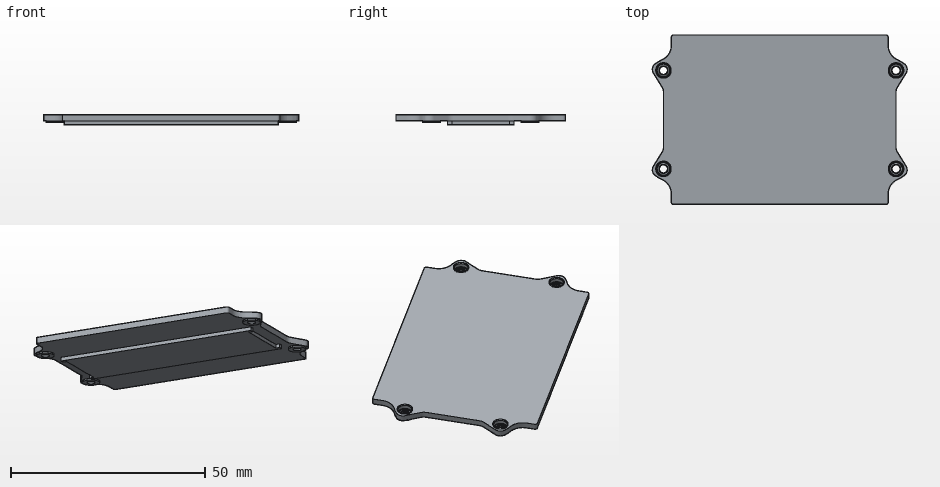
import cadquery as cq
import math

length = 65.7
width = 43.7
total_height = 2.6
plate_thickness = 1.65
body_length = 55.9
waist_length = 59.9
corner_radius = 0.6

panel_length = 55.2
panel_width = 17.15
rail_width = 1.1
end_recess = 1.1

hole_x = 29.95
hole_y = 12.7
hole_diameter = 2.05
counterbore_diameter = 3.55
counterbore_depth = 1.4
floor_chamfer = 0.165
hole_chamfer = 0.165
rim_diameter = 4.0
rim_depth = (rim_diameter - counterbore_diameter) / 2
boss_diameter = 4.5
boss_height = 0.4

tip_radius = 1.8
tip_y = 12.95
tip_upper_angle = 120.0
tip_lower_angle = 214.0
shoulder = (31.35, 14.9)
neck = (29.8, 15.7)
neck_top_y = 19.1
root_radius = 2.6
root_y = 7.0

hole_points = [(sx * hole_x, sy * hole_y) for sx in (-1, 1) for sy in (-1, 1)]


def point_on_circle(center, radius, degrees):
    angle = math.radians(degrees)
    return center[0] + radius * math.cos(angle), center[1] + radius * math.sin(angle)


def quarter_plate():
    """Quarter of the plate in -X, +Y, bounded by the two symmetry axes."""
    body_x = -body_length / 2
    waist_x = -waist_length / 2
    tip_center = (-length / 2 + tip_radius, tip_y)
    root_center = (waist_x - root_radius, root_y)
    root_sweep = tip_lower_angle - 180

    neck_run = neck[0] + body_x
    neck_rise = neck_top_y - neck[1]
    neck_radius = (neck_run**2 + neck_rise**2) / (2 * neck_run)
    neck_center = (body_x - neck_radius, neck_top_y)
    neck_sweep = math.degrees(math.asin(neck_rise / neck_radius))

    outline = (
        cq.Workplane("XY")
        .moveTo(0, 0)
        .lineTo(0, width / 2)
        .lineTo(body_x + corner_radius, width / 2)
        .radiusArc((body_x, width / 2 - corner_radius), -corner_radius)
        .lineTo(body_x, neck_top_y)
        .threePointArc(point_on_circle(neck_center, neck_radius, -neck_sweep / 2), (-neck[0], neck[1]))
        .lineTo(-shoulder[0], shoulder[1])
        .lineTo(*point_on_circle(tip_center, tip_radius, tip_upper_angle))
        .threePointArc(
            point_on_circle(tip_center, tip_radius, (tip_upper_angle + tip_lower_angle) / 2),
            point_on_circle(tip_center, tip_radius, tip_lower_angle),
        )
        .lineTo(*point_on_circle(root_center, root_radius, root_sweep))
        .threePointArc(point_on_circle(root_center, root_radius, root_sweep / 2), (waist_x, root_y))
        .lineTo(waist_x, 0)
        .close()
    )
    return outline.extrude(-plate_thickness)


def full_plate():
    """Mirror the quarter about both symmetry planes."""
    quarter = quarter_plate()
    half = quarter.union(quarter.mirror("YZ"))
    return half.union(half.mirror("XZ")).clean()


def underside_panel():
    """Panel whose ends are set back between two full-length side rails."""
    panel_height = total_height - plate_thickness
    recess_width = panel_width - 2 * rail_width
    panel = (
        cq.Workplane("XY")
        .workplane(offset=-total_height)
        .rect(panel_length, panel_width)
        .extrude(panel_height)
    )
    end_recesses = (
        cq.Workplane("XY")
        .workplane(offset=-total_height)
        .pushPoints([(-panel_length / 2, 0), (panel_length / 2, 0)])
        .rect(2 * end_recess, recess_width)
        .extrude(panel_height)
    )
    return panel.cut(end_recesses)


def screw_bosses():
    return (
        cq.Workplane("XY")
        .workplane(offset=-plate_thickness - boss_height)
        .pushPoints(hole_points)
        .circle(boss_diameter / 2)
        .extrude(boss_height)
    )


def screw_hole_cutters():
    """Revolved profiles: through hole, hole chamfer, counterbore with chamfered floor and rim."""
    profile = [
        (0, 0),
        (rim_diameter / 2, 0),
        (counterbore_diameter / 2, -rim_depth),
        (counterbore_diameter / 2, floor_chamfer - counterbore_depth),
        (counterbore_diameter / 2 - floor_chamfer, -counterbore_depth),
        (hole_diameter / 2 + hole_chamfer, -counterbore_depth),
        (hole_diameter / 2, -counterbore_depth - hole_chamfer),
        (hole_diameter / 2, -total_height),
        (0, -total_height),
    ]
    cutter = cq.Workplane("XZ").polyline(profile).close().revolve(360, (0, 0), (0, 1)).val()
    return cq.Workplane("XY").pushPoints(hole_points).eachpoint(lambda place: cutter.moved(place))


result = full_plate().union(underside_panel()).union(screw_bosses()).cut(screw_hole_cutters())